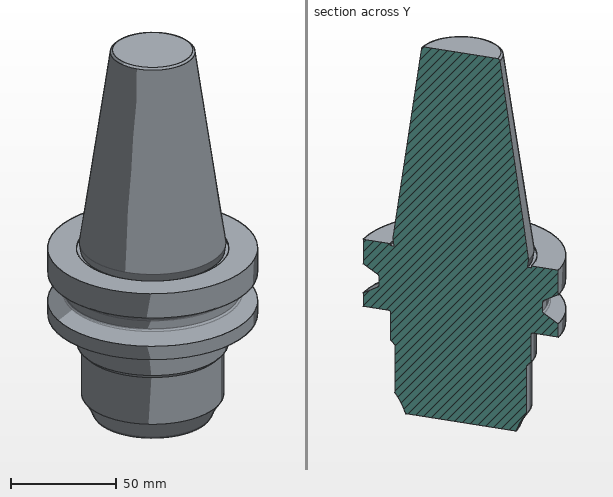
import cadquery as cq
import math

total_height = 191.8

body_radius = 34.0
nose_radius = 28.8
nose_height = 10.2
nose_curve_radius = 30.7
nose_edge_height = 1.0
nose_edge_width = 0.5
collar_radius = 36.0
collar_bottom = 35.0
collar_chamfer_height = 2.1
root_fillet = 1.0

flange_radius = 50.0
flange_top = 87.0
flange_height = 35.0
flange_bottom = flange_top - flange_height
lower_rim_height = 7.1
upper_rim_height = 12.9
groove_radius = 42.0
groove_side_angle = 30
groove_fillet = 1.3

gauge_height = 90.0
gauge_radius = 35.0
taper_slope = 7 / 48
tip_radius = gauge_radius - (total_height - gauge_height) * taper_slope
tip_edge_chamfer = 1.0

neck_radius = 34.3
recess_radius = 36.3
recess_depth = 1.0


def make_profile():
    """Half section of the holder, as radius and height, from nose to tip."""
    lower_rim_top = flange_bottom + lower_rim_height
    upper_rim_bottom = flange_top - upper_rim_height
    side_angle = math.radians(groove_side_angle)
    groove_side_height = (flange_radius - groove_radius) * math.tan(side_angle)
    groove_bottom = lower_rim_top + groove_side_height
    groove_top = upper_rim_bottom - groove_side_height
    fillet_reach = groove_fillet * math.tan((math.pi / 2 - side_angle) / 2)
    fillet_width = fillet_reach * math.cos(side_angle)
    fillet_rise = fillet_reach * math.sin(side_angle)
    tip_edge_height = total_height - tip_edge_chamfer
    recess_floor = flange_top - recess_depth
    return (
        cq.Workplane("XZ")
        .moveTo(0, 0)
        .lineTo(nose_radius - nose_edge_width, 0)
        .lineTo(nose_radius, nose_edge_height)
        .radiusArc((body_radius, nose_height), nose_curve_radius)
        .lineTo(body_radius, collar_bottom)
        .lineTo(collar_radius, collar_bottom + collar_chamfer_height)
        .lineTo(collar_radius, flange_bottom - root_fillet)
        .radiusArc((collar_radius + root_fillet, flange_bottom), root_fillet)
        .lineTo(flange_radius, flange_bottom)
        .lineTo(flange_radius, lower_rim_top)
        .lineTo(groove_radius + fillet_width, groove_bottom - fillet_rise)
        .radiusArc((groove_radius, groove_bottom + fillet_reach), groove_fillet)
        .lineTo(groove_radius, groove_top - fillet_reach)
        .radiusArc((groove_radius + fillet_width, groove_top + fillet_rise), groove_fillet)
        .lineTo(flange_radius, upper_rim_bottom)
        .lineTo(flange_radius, flange_top)
        .lineTo(recess_radius, flange_top)
        .lineTo(recess_radius, recess_floor)
        .lineTo(neck_radius, recess_floor)
        .lineTo(gauge_radius, gauge_height)
        .lineTo(tip_radius + tip_edge_chamfer * taper_slope, tip_edge_height)
        .lineTo(tip_radius - tip_edge_chamfer, total_height)
        .lineTo(0, total_height)
        .close()
    )


result = make_profile().revolve(360, (0, 0, 0), (0, 1, 0))